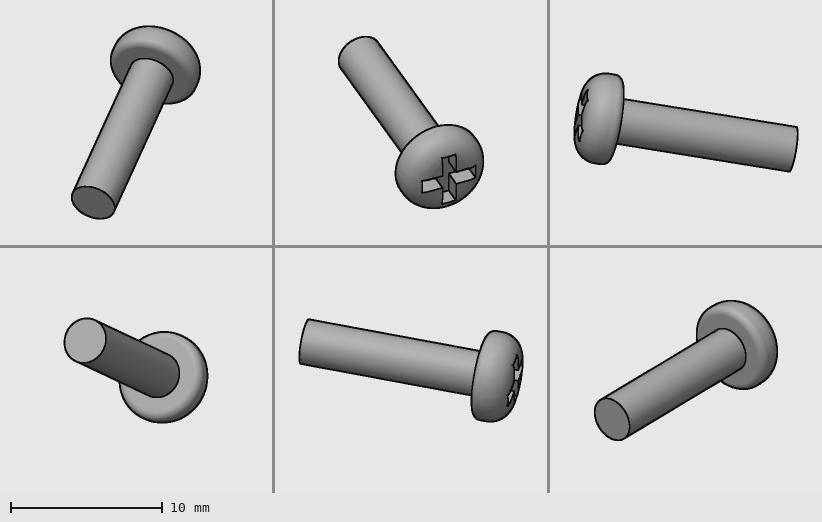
import cadquery as cq

total_length = 14.4
head_diameter = 6.0
shank_diameter = head_diameter / 2
head_height = total_length / 6
shank_length = total_length - head_height
crown_radius = head_diameter / 4
underside_radius = head_diameter / 12

recess_span = 3.86
recess_width = 1.0
recess_depth = head_height / 2


def cylinder_along_y(diameter, start, length):
    """Solid cylinder from y = start toward +Y."""
    circle = cq.Workplane("XZ", origin=(0, start, 0)).circle(diameter / 2)
    return circle.extrude(-length)


def make_head():
    head = cylinder_along_y(head_diameter, 0, head_height)
    head = head.faces(">Y").edges().fillet(crown_radius)
    return head.faces("<Y").edges().fillet(underside_radius)


def make_cross_recess():
    """Two crossed slots sunk into the top of the head."""
    center = (0, head_height - recess_depth / 2, 0)
    slot_x = cq.Workplane("XY").box(recess_span, recess_depth, recess_width)
    slot_z = cq.Workplane("XY").box(recess_width, recess_depth, recess_span)
    return slot_x.union(slot_z).translate(center)


shank = cylinder_along_y(shank_diameter, -shank_length, shank_length)
result = make_head().union(shank).cut(make_cross_recess())